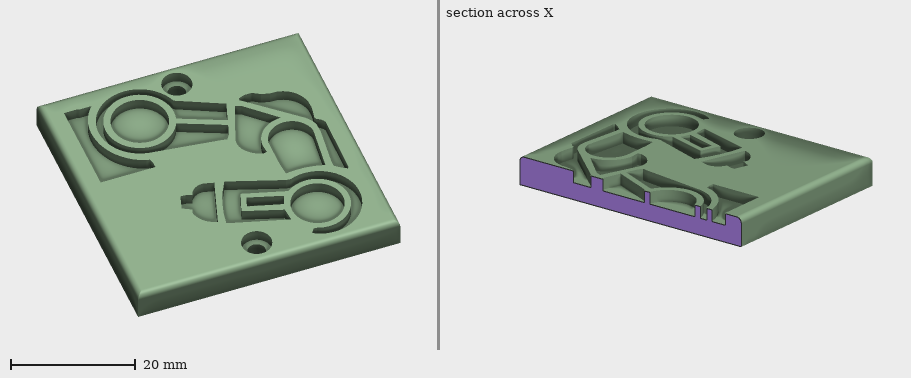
import cadquery as cq
import math

PLATE_SIDE = 45.0
PLATE_THICKNESS = 5.0
TOP_EDGE_RADIUS = 1.0

RECESS_DEPTH = 2.0
RECESS_FLOOR = PLATE_THICKNESS - RECESS_DEPTH

SCREW_DIAMETER = 3.0
SCREW_HEAD_DIAMETER = 5.0
SCREW_CENTERS = [(-18.5, 0.0), (18.5, -0.6)]

LOWER_JOINT = (-13.03, -8.47)
LOWER_DISC_RADIUS = 4.7
LOWER_RING_RADIUS = 5.85
LOWER_HOUSING_RADIUS = 7.05

UPPER_JOINT = (13.97, 11.6)
UPPER_DISC_RADIUS = 4.35
UPPER_RING_RADIUS = 5.37
UPPER_HOUSING = (13.9, 11.95)
UPPER_HOUSING_RADIUS = 6.87

MOTOR = (-0.7, 12.9)
MOTOR_RADIUS = 3.85
MOTOR_WALL_RADIUS = 4.95


def polar(center, radius, angle):
    """Point on a circle, with the angle in degrees from +X."""
    turn = math.radians(angle)
    return (center[0] + radius * math.cos(turn), center[1] + radius * math.sin(turn))


def circle_arc(center, radius, start_angle, end_angle):
    """Middle and end points of a circular arc that starts at start_angle."""
    middle = polar(center, radius, (start_angle + end_angle) / 2)
    return (middle, polar(center, radius, end_angle))


def recess(start, steps):
    """Cutter for a closed outline; a step is a line's end or an arc's (middle, end)."""
    outline = cq.Workplane("XY").workplane(offset=RECESS_FLOOR).moveTo(*start)
    for step in steps:
        if isinstance(step[0], tuple):
            outline = outline.threePointArc(*step)
        else:
            outline = outline.lineTo(*step)
    return outline.close().extrude(RECESS_DEPTH)


def round_recess(center, radius):
    """Cutter for a circular recess."""
    floor = cq.Workplane("XY").workplane(offset=RECESS_FLOOR)
    return floor.center(*center).circle(radius).extrude(RECESS_DEPTH)


def plate():
    """Square plate with rounded top edges and the two screw holes."""
    body = cq.Workplane("XY").box(PLATE_SIDE, PLATE_SIDE, PLATE_THICKNESS, centered=(True, True, False))
    body = body.faces(">Z").edges().fillet(TOP_EDGE_RADIUS)
    return (
        body.faces(">Z")
        .workplane(origin=(0, 0, PLATE_THICKNESS))
        .pushPoints(SCREW_CENTERS)
        .cboreHole(SCREW_DIAMETER, SCREW_HEAD_DIAMETER, RECESS_DEPTH)
    )


def base():
    """Foot of the arm, hollowed on top around the lower joint."""
    return recess(
        (-19.1, -19.15),
        [
            (-2.8, -19.15),
            (-2.8, -9.75),
            (-3.6, -9.75),
            (-4.65, -10.0),
            (-4.7, -10.5),
            ((-7.15, -14.25), (-12.7, -16.65)),
            ((-16.1, -16.2), (-18.95, -14.5)),
            (-18.95, -16.5),
            (-19.1, -17.0),
        ],
    )


def lower_arm():
    """Lower arm around its joint ring, split by the rib that carries the ring."""
    rib_left_angle = 75.5
    rib_right_angle = 64.5
    housing_start = 109.0
    housing_end = 350.0
    return recess(
        polar(LOWER_JOINT, LOWER_RING_RADIUS, rib_left_angle),
        [
            (-11.05, -1.8),
            (-8.2, 4.75),
            (-11.65, 5.85),
            polar(LOWER_JOINT, LOWER_HOUSING_RADIUS, housing_start),
            circle_arc(LOWER_JOINT, LOWER_HOUSING_RADIUS, housing_start, housing_end),
            (-4.5, 2.2),
            (-4.3, 3.2),
            (-5.1, 3.7),
            (-7.2, 4.45),
            polar(LOWER_JOINT, LOWER_RING_RADIUS, rib_right_angle),
            circle_arc(LOWER_JOINT, LOWER_RING_RADIUS, rib_right_angle, rib_left_angle - 360),
        ],
    )


def shoulder_cover():
    """Curved cover along the upper left of the motor."""
    return recess(
        (-11.6, 8.1),
        [
            (-4.2, 16.55),
            ((-3.3, 17.25), (-2.2, 17.7)),
            (-0.5, 17.75),
            (6.0, 17.0),
            (7.2, 16.95),
            ((8.0, 17.95), (8.6, 18.9)),
            (8.3, 19.1),
            (-2.2, 19.25),
            ((-2.8, 18.85), (-3.3, 18.1)),
            (-3.8, 17.9),
            ((-5.0, 18.15), (-6.2, 18.3)),
            (-7.3, 18.25),
            ((-9.9, 16.9), (-11.2, 14.3)),
            (-11.25, 13.2),
            (-11.6, 11.8),
            (-12.4, 10.5),
            (-12.4, 9.2),
            (-12.0, 8.1),
        ],
    )


def motor_body():
    """Motor: round at the left, hollowed at the right around the upper joint."""
    round_start = 97.0
    round_end = 270.0
    return recess(
        (6.6, 15.8),
        [
            polar(MOTOR, MOTOR_RADIUS, round_start),
            circle_arc(MOTOR, MOTOR_RADIUS, round_start, round_end),
            (3.9, 9.05),
            (6.05, 9.25),
            ((5.9, 11.8), (6.6, 15.8)),
        ],
    )


def elbow():
    """Link between the motor and the lower arm."""
    wall_start = 266.0
    wall_end = 180.0
    return recess(
        (-10.65, 6.95),
        [
            (-4.3, 4.55),
            ((-2.4, 4.3), (-0.6, 5.3)),
            ((0.2, 6.3), (0.65, 7.5)),
            (0.55, 8.1),
            polar(MOTOR, MOTOR_WALL_RADIUS, wall_start),
            circle_arc(MOTOR, MOTOR_WALL_RADIUS, wall_start, wall_end),
            (-10.3, 7.95),
        ],
    )


def upper_arm():
    """Upper arm: hook around the joint ring, and a sleeve around the ring's stem."""
    hook_start = -26.0
    hook_end = 201.0
    ring_start = 219.0
    ring_end = -22.0
    return recess(
        polar(UPPER_HOUSING, UPPER_HOUSING_RADIUS, hook_start),
        [
            circle_arc(UPPER_HOUSING, UPPER_HOUSING_RADIUS, hook_start, hook_end),
            (7.4, 8.7),
            (4.15, -0.6),
            ((8.0, -2.45), (12.8, -3.6)),
            (15.75, 6.4),
            (15.1, 6.35),
            (13.4, 6.2),
            (11.2, -0.4),
            (7.6, 0.85),
            polar(UPPER_JOINT, UPPER_RING_RADIUS, ring_start),
            circle_arc(UPPER_JOINT, UPPER_RING_RADIUS, ring_start, ring_end),
            (18.9, 9.0),
            (19.7, 8.45),
        ],
    )


def stem_slot():
    """Slot along the stem of the upper joint ring."""
    return recess((10.5, 7.15), [(12.2, 6.55), (10.55, 0.8), (8.7, 1.4)])


def gripper():
    """Gripper at the end of the upper arm, with a short finger."""
    return recess(
        (3.8, -2.2),
        [
            (12.0, -4.75),
            ((11.0, -6.65), (8.7, -7.85)),
            (8.05, -7.55),
            (7.2, -9.1),
            (4.65, -8.35),
            (4.7, -7.5),
            (5.1, -6.45),
            ((3.7, -5.4), (3.35, -3.9)),
        ],
    )


recess_cutters = [
    base(),
    lower_arm(),
    round_recess(LOWER_JOINT, LOWER_DISC_RADIUS),
    shoulder_cover(),
    motor_body(),
    elbow(),
    upper_arm(),
    round_recess(UPPER_JOINT, UPPER_DISC_RADIUS),
    stem_slot(),
    gripper(),
]

result = plate()
for cutter in recess_cutters:
    result = result.cut(cutter)